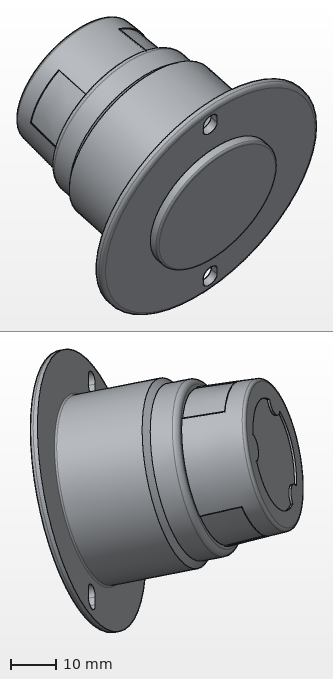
import cadquery as cq

ORIGIN = (0, 0, 0)
X_AXIS = (1, 0, 0)

shoulder_x = 14.85
chamfer_start_x = 21.5
body_x = 22.85
flange_x = 43.6
flange_back_x = 45.65
length = 48.0

nose_tip_radius = 17.2
nose_base_radius = 18.0
band_radius = 20.0
body_radius = 21.45
flange_radius = 31.75
spigot_radius = 17.6

nose_round = 0.75
band_round = 1.4
root_round = 0.4
flange_round = 1.0
spigot_round = 0.5

recess_radius = 12.7
recess_depth = 0.5
lobe_radius = 3.25
lobe_centre_radius = 13.5
lobe_angles = (90, 200, 340)

pocket_x = 4.95
pocket_depth = 0.25
pocket_span = 49.0
pocket_angles = (35, 145, 270)

slot_width = 4.0
slot_length = 6.0
slot_centre_radius = 26.8
slot_angles = (90, 270)


def nose_radius(x):
    """Radius of the tapered nose at distance x from its face."""
    return nose_tip_radius + (nose_base_radius - nose_tip_radius) * x / shoulder_x


def disc(start_x, end_x, radius):
    """Solid disc on the X axis between two stations."""
    return cq.Workplane("YZ", origin=(start_x, 0, 0)).circle(radius).extrude(end_x - start_x)


def turn(outline):
    """Revolve a closed (x, radius) outline into a full turn about the X axis."""
    return cq.Workplane("XY").polyline(outline).close().revolve(360, ORIGIN, X_AXIS)


def make_nose():
    nose = turn([
        (0, 0),
        (0, nose_tip_radius),
        (shoulder_x, nose_base_radius),
        (shoulder_x, 0),
    ])
    return nose.faces("<X").edges().fillet(nose_round)


def make_body():
    body = turn([
        (shoulder_x, 0),
        (shoulder_x, band_radius),
        (chamfer_start_x, band_radius),
        (body_x, body_radius),
        (flange_x, body_radius),
        (flange_x, 0),
    ])
    return body.faces("<X").edges().fillet(band_round)


def make_flange():
    flange = disc(flange_x, flange_back_x, flange_radius)
    return flange.faces(">X").edges().fillet(flange_round)


def make_root_fillet():
    """Concave ring that blends the body into the front of the flange."""
    ring = (
        cq.Workplane("XY")
        .moveTo(flange_x - root_round, body_radius)
        .radiusArc((flange_x, body_radius + root_round), -root_round)
        .lineTo(flange_x, 0)
        .lineTo(flange_x - root_round, 0)
        .close()
    )
    return ring.revolve(360, ORIGIN, X_AXIS)


def make_spigot():
    spigot = disc(flange_back_x, length, spigot_radius)
    return spigot.faces(">X").edges().fillet(spigot_round)


def make_recess():
    """Shallow disc with round bites where the lobes stay standing."""
    recess = disc(0, recess_depth, recess_radius)
    lobe = disc(0, recess_depth, lobe_radius).translate((0, lobe_centre_radius, 0))
    for angle in lobe_angles:
        recess = recess.cut(lobe.rotate(ORIGIN, X_AXIS, angle))
    return recess


def make_pocket(angle):
    """Sector of a thin tapered ring centred on an angle from +Y towards +Z."""
    overshoot = 0.65
    front_radius = nose_radius(pocket_x)
    ring = cq.Workplane("XY").polyline([
        (pocket_x, front_radius - pocket_depth),
        (shoulder_x, nose_base_radius - pocket_depth),
        (shoulder_x, nose_base_radius + overshoot),
        (pocket_x, front_radius + overshoot),
    ]).close()
    sector = ring.revolve(pocket_span, ORIGIN, X_AXIS)
    return sector.rotate(ORIGIN, X_AXIS, angle - pocket_span / 2)


def make_slot(angle):
    """Rounded slot whose length runs radially through the flange."""
    slot = (
        cq.Workplane("YZ", origin=(flange_x, 0, 0))
        .center(slot_centre_radius, 0)
        .slot2D(slot_length, slot_width)
        .extrude(flange_back_x - flange_x)
    )
    return slot.rotate(ORIGIN, X_AXIS, angle)


result = (
    make_nose()
    .union(make_body())
    .union(make_root_fillet())
    .union(make_flange())
    .union(make_spigot())
    .cut(make_recess())
)
for pocket_angle in pocket_angles:
    result = result.cut(make_pocket(pocket_angle))
for slot_angle in slot_angles:
    result = result.cut(make_slot(slot_angle))